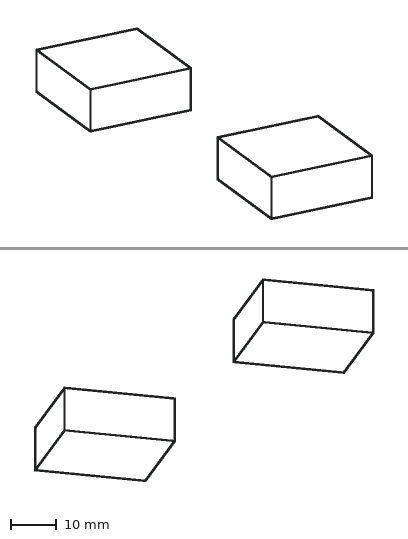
import cadquery as cq

overall_length = 70.0
overall_height = 40.0

block_side = 25.0
block_height = 10.0

spacing_y = overall_length - block_side
spacing_z = overall_height - block_height


def make_block(center_y, center_z):
    """Plain square block centred on X = 0."""
    block = cq.Workplane("XY").box(block_side, block_side, block_height)
    return block.translate((0, center_y, center_z))


blocks = []
for side in (-1, 1):
    block = make_block(side * spacing_y / 2, -side * spacing_z / 2)
    blocks.append(block.val())

result = cq.Compound.makeCompound(blocks)